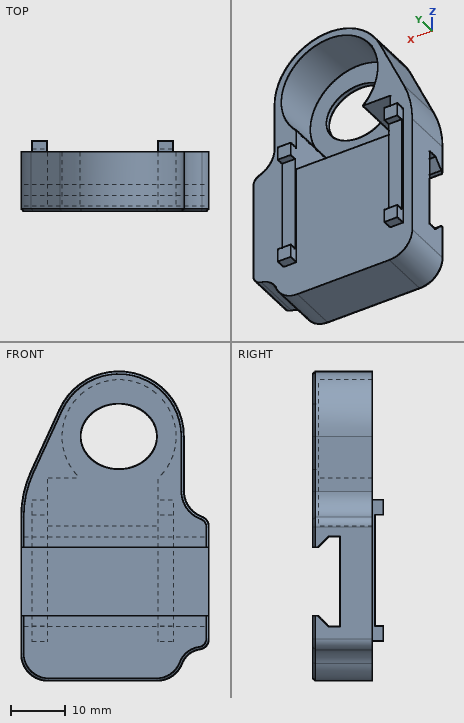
import cadquery as cq
import math


body_depth = 11.0
head_radius = 12.0
left_x = -18.0
right_x = 16.6
bottom_z = -45.0
slant_angle = math.radians(24.7)
shoulder_radius = 20.0
corner_radius = 5.0
tip_radius = 2.0
edge_chamfer = 0.5

upper_notch_radius = 5.0
upper_notch_z = -10.05
lower_notch_radius = 4.0
lower_tip_z = -37.25

groove_z = -26.7
groove_depth = 5.0
groove_neck = 12.6
groove_width = 16.5
groove_lip = 1.0
groove_slope = (groove_width - groove_neck) / 2

eye_width = 14.0
eye_height = 12.0
bore_diameter = 21.0
front_wall = 1.0
cavity_floor_wall = 2.0

peg_span = 26.0
peg_size = 2.8
peg_height = 2.0
rail_height = 0.5
peg_center_x = (left_x + head_radius) / 2
peg_center_z = -24.65
peg_gap = peg_span - 2 * peg_size


def point_on(center, radius, angle):
    """Point at the given angle on a circle in the XZ plane."""
    return (center[0] + radius * math.cos(angle), center[1] + radius * math.sin(angle))


def between(start, end, distance):
    """Point at a distance from start along the way to end."""
    angle = math.atan2(end[1] - start[1], end[0] - start[0])
    return point_on(start, distance, angle)


def arc_middle(center, start, end, radius):
    """Middle point of the short arc from start to end."""
    chord_middle = ((start[0] + end[0]) / 2, (start[1] + end[1]) / 2)
    return between(center, chord_middle, radius)


def tangent_center(first, first_distance, second, second_distance):
    """Point at the given distances from two points, clockwise of the heading from first to second."""
    span = math.dist(first, second)
    heading = math.atan2(second[1] - first[1], second[0] - first[0])
    cosine = (first_distance**2 + span**2 - second_distance**2) / (2 * first_distance * span)
    return point_on(first, first_distance, heading - math.acos(cosine))


def box(x_range, y_range, z_range):
    """Box spanning the given (low, high) ranges."""
    sizes = [high - low for low, high in (x_range, y_range, z_range)]
    corner = (x_range[0], y_range[0], z_range[0])
    return cq.Workplane("XY").box(*sizes, centered=False).translate(corner)


def make_body():
    """Plate with rounded head, slanted left flank and notched right side."""
    slant_top = point_on((0, 0), head_radius, math.pi - slant_angle)
    flank_corner_z = slant_top[1] - (slant_top[0] - left_x) / math.tan(slant_angle)
    shoulder_center = (
        left_x + shoulder_radius,
        flank_corner_z - shoulder_radius * math.tan(slant_angle / 2),
    )
    shoulder_top = point_on(shoulder_center, shoulder_radius, math.pi - slant_angle)
    shoulder_middle = point_on(shoulder_center, shoulder_radius, math.pi - slant_angle / 2)
    shoulder_bottom = (left_x, shoulder_center[1])

    tip_x = right_x - tip_radius
    upper_notch = (head_radius + upper_notch_radius, upper_notch_z)
    upper_tip_rise = math.sqrt((upper_notch_radius + tip_radius) ** 2 - (upper_notch[0] - tip_x) ** 2)
    upper_tip = (tip_x, upper_notch_z - upper_tip_rise)
    upper_tip_start = between(upper_notch, upper_tip, upper_notch_radius)
    upper_tip_end = (right_x, upper_tip[1])

    corner_z = bottom_z + corner_radius
    lower_tip = (tip_x, lower_tip_z)
    right_corner = (head_radius - corner_radius, corner_z)
    lower_notch = tangent_center(
        right_corner, corner_radius + lower_notch_radius, lower_tip, tip_radius + lower_notch_radius
    )
    lower_tip_start = (right_x, lower_tip_z)
    lower_tip_end = between(lower_notch, lower_tip, lower_notch_radius)
    right_corner_start = between(lower_notch, right_corner, lower_notch_radius)
    right_corner_end = (right_corner[0], bottom_z)

    left_corner = (left_x + corner_radius, corner_z)
    left_corner_start = (left_corner[0], bottom_z)
    left_corner_end = (left_x, corner_z)

    head_right = (head_radius, 0)
    head_top = (0, head_radius)
    upper_notch_start = (head_radius, upper_notch_z)

    outline = (
        cq.Workplane("XZ")
        .moveTo(*slant_top)
        .threePointArc(head_top, head_right)
        .lineTo(*upper_notch_start)
        .threePointArc(
            arc_middle(upper_notch, upper_notch_start, upper_tip_start, upper_notch_radius),
            upper_tip_start,
        )
        .threePointArc(arc_middle(upper_tip, upper_tip_start, upper_tip_end, tip_radius), upper_tip_end)
        .lineTo(*lower_tip_start)
        .threePointArc(arc_middle(lower_tip, lower_tip_start, lower_tip_end, tip_radius), lower_tip_end)
        .threePointArc(
            arc_middle(lower_notch, lower_tip_end, right_corner_start, lower_notch_radius),
            right_corner_start,
        )
        .threePointArc(
            arc_middle(right_corner, right_corner_start, right_corner_end, corner_radius), right_corner_end
        )
        .lineTo(*left_corner_start)
        .threePointArc(
            arc_middle(left_corner, left_corner_start, left_corner_end, corner_radius), left_corner_end
        )
        .lineTo(*shoulder_bottom)
        .threePointArc(shoulder_middle, shoulder_top)
        .close()
    )
    return outline.extrude(body_depth).faces("<Y").edges().chamfer(edge_chamfer)


def make_groove():
    """Dovetail groove running along X, open to the front face."""
    front_y = -body_depth
    floor_y = front_y + groove_depth
    lip_y = front_y + groove_lip
    slope_y = lip_y + groove_slope
    neck = groove_neck / 2
    wide = groove_width / 2
    upper_half = [(front_y, neck), (lip_y, neck), (slope_y, wide), (floor_y, wide)]
    lower_half = [(y, -z) for y, z in reversed(upper_half)]
    return (
        cq.Workplane("YZ")
        .polyline(upper_half + lower_half)
        .close()
        .extrude(right_x - left_x)
        .translate((left_x, 0, groove_z))
    )


def make_cavity():
    """Round bore behind the eye, widened downward between the rails."""
    bore_radius = bore_diameter / 2
    depth = body_depth - front_wall
    bore = cq.Workplane("XZ").circle(bore_radius).extrude(depth)
    wall_left = peg_center_x - peg_gap / 2
    wall_right = peg_center_x + peg_gap / 2
    top_z = -math.sqrt(bore_radius**2 - wall_right**2)
    floor_z = groove_z + groove_width / 2 + cavity_floor_wall
    return bore.union(box((wall_left, wall_right), (-depth, 0), (floor_z, top_z)))


def make_eye():
    """Oval opening through the front wall."""
    return cq.Workplane("XZ").ellipse(eye_width / 2, eye_height / 2).extrude(body_depth)


def make_side_rail(side):
    """Low rail along Z with a peg at each end; side is -1 for left, 1 for right."""
    middle_x = peg_center_x + side * (peg_span - peg_size) / 2
    x_range = (middle_x - peg_size / 2, middle_x + peg_size / 2)
    bottom = peg_center_z - peg_span / 2
    top = peg_center_z + peg_span / 2
    rail = box(x_range, (0, rail_height), (bottom, top))
    for peg_bottom in (bottom, top - peg_size):
        rail = rail.union(box(x_range, (0, peg_height), (peg_bottom, peg_bottom + peg_size)))
    return rail


result = make_body().cut(make_groove()).cut(make_cavity()).cut(make_eye())
for side in (-1, 1):
    result = result.union(make_side_rail(side))